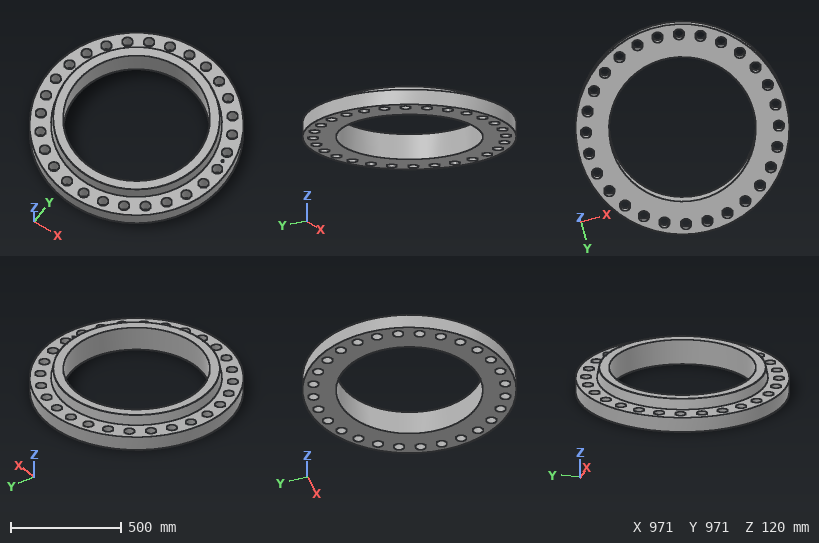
import cadquery as cq
import math

flange_diameter = 971.0
flange_thickness = 71.0
bore_diameter = 666.0

total_height = 120.0
hub_base_diameter = 775.0
hub_top_diameter = 758.0
hub_foot_height = 2.0
hub_foot_flare = 1.0
rim_bevel = 1.0

bolt_count = 28
bolt_pitch = 360 / bolt_count
bolt_circle_diameter = 876.0
bolt_hole_diameter = 48.0

small_hole_diameter = 7.0
small_hole_depth = 23.0
countersink_diameter = 12.0
countersink_angle = 90


def ring_body():
    """Revolve the flange, hub and bore as one profile about Z."""
    bore_radius = bore_diameter / 2
    flange_radius = flange_diameter / 2
    foot_radius = hub_base_diameter / 2
    hub_top_radius = hub_top_diameter / 2
    profile = [
        (bore_radius, 0),
        (flange_radius, 0),
        (flange_radius, flange_thickness),
        (foot_radius + hub_foot_flare, flange_thickness),
        (foot_radius, flange_thickness + hub_foot_height),
        (hub_top_radius, total_height - rim_bevel),
        (hub_top_radius - rim_bevel, total_height),
        (bore_radius, total_height),
    ]
    return cq.Workplane("XZ").polyline(profile).close().revolve(360, (0, 0, 0), (0, 1, 0))


def bolt_holes():
    """Through holes evenly spaced on the bolt circle, the first on +X."""
    return (
        cq.Workplane("XY")
        .polarArray(bolt_circle_diameter / 2, 0, 360, bolt_count)
        .circle(bolt_hole_diameter / 2)
        .extrude(flange_thickness)
    )


def add_small_hole(body):
    """Sink the small hole into the flange face, half a bolt pitch from +X."""
    angle = math.radians(bolt_pitch / 2)
    radius = bolt_circle_diameter / 2
    flange_face = body.copyWorkplane(cq.Workplane("XY", origin=(0, 0, flange_thickness)))
    return flange_face.center(radius * math.cos(angle), radius * math.sin(angle)).cskHole(
        small_hole_diameter, countersink_diameter, countersink_angle, small_hole_depth
    )


result = add_small_hole(ring_body().cut(bolt_holes()))